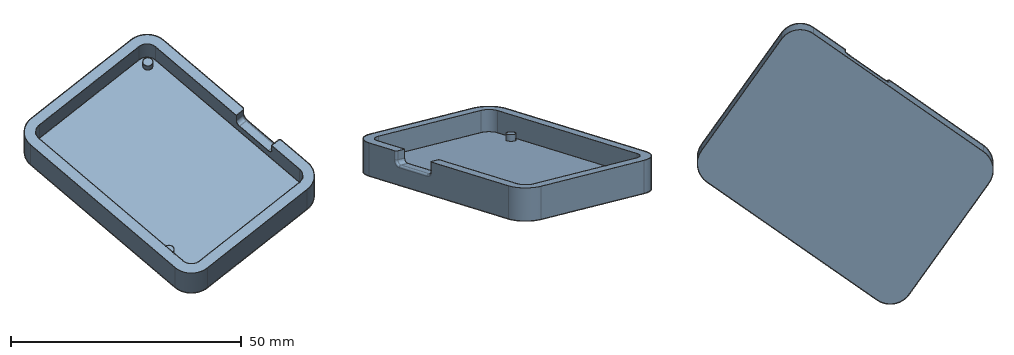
import cadquery as cq

LENGTH = 55.0
WIDTH = 40.0
HEIGHT = 7.5
OUTER_CORNER_RADIUS = 5.0

WALL = 2.5
FLOOR = 2.5
INNER_CORNER_RADIUS = OUTER_CORNER_RADIUS - WALL
POCKET_LENGTH = LENGTH - 2 * WALL
POCKET_WIDTH = WIDTH - 2 * WALL

PIN_DIAMETER = 2.2
PIN_HEIGHT = 1.5
PIN_CENTERS = [(-22.53, 15.25), (16.42, -15.9)]

NOTCH_CENTER_X = 8.25
NOTCH_WIDTH = 11.0
NOTCH_BOTTOM = FLOOR + 2.0
NOTCH_CORNER_RADIUS = 1.0
NOTCH_RIM_RADIUS = 0.5
SELECTION_MARGIN = 0.1


def rounded_block(length, width, bottom, top, corner_radius):
    """Upright block with rounded vertical edges, centred on X and Y."""
    block = cq.Workplane("XY").workplane(offset=bottom).rect(length, width).extrude(top - bottom)
    return block.edges("|Z").fillet(corner_radius)


def make_tray():
    body = rounded_block(LENGTH, WIDTH, 0, HEIGHT, OUTER_CORNER_RADIUS)
    pocket = rounded_block(POCKET_LENGTH, POCKET_WIDTH, FLOOR, HEIGHT, INNER_CORNER_RADIUS)
    return body.cut(pocket)


def make_pins():
    return (
        cq.Workplane("XY")
        .workplane(offset=FLOOR)
        .pushPoints(PIN_CENTERS)
        .circle(PIN_DIAMETER / 2)
        .extrude(PIN_HEIGHT)
    )


def cut_notch(tray):
    """Cut the open-topped notch and round its rim on the outer wall face."""
    back_face_y = WIDTH / 2
    cutter = (
        cq.Workplane("XY")
        .box(NOTCH_WIDTH, WALL, 2 * (HEIGHT - NOTCH_BOTTOM))
        .edges("|Y")
        .fillet(NOTCH_CORNER_RADIUS)
        .translate((NOTCH_CENTER_X, back_face_y - WALL / 2, HEIGHT))
    )
    reach_x = NOTCH_WIDTH / 2 + SELECTION_MARGIN
    lower_corner = (
        NOTCH_CENTER_X - reach_x,
        back_face_y - SELECTION_MARGIN,
        NOTCH_BOTTOM - SELECTION_MARGIN,
    )
    upper_corner = (
        NOTCH_CENTER_X + reach_x,
        back_face_y + SELECTION_MARGIN,
        HEIGHT - SELECTION_MARGIN,
    )
    rim = cq.selectors.BoxSelector(lower_corner, upper_corner)
    return tray.cut(cutter).edges(rim).fillet(NOTCH_RIM_RADIUS)


result = cut_notch(make_tray()).union(make_pins())